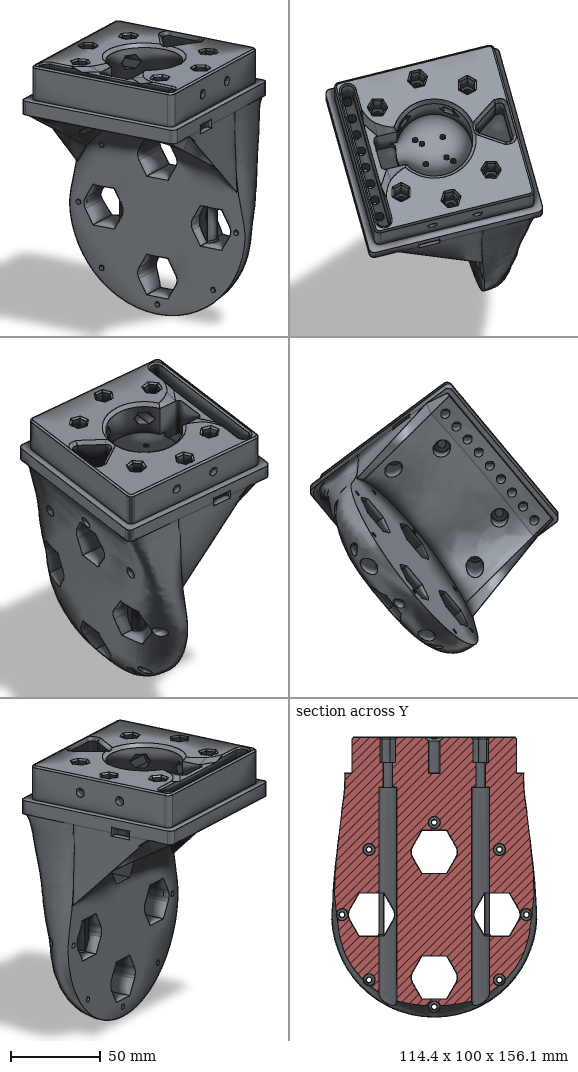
import cadquery as cq
import math


flange_size = 100.0
flange_height = 8.0
plug_size = 92.0
plug_height = 20.0
corner_radius = 3.0
plug_edge_chamfer = 1.0
plug_top = flange_height + plug_height

pocket_depth = plug_height
pocket_floor = plug_top - pocket_depth
lead_in = 2.0
round_pocket_radius = 21.4
triangle_back = 42.9
triangle_shoulder = 38.4
triangle_half_width = 11.7
triangle_apex = 21.5
triangle_back_radius = 2.5
triangle_tip_radius = 3.2
well_half_width = 10.0
well_back = -20.4
well_front = -32.8
well_extra_depth = 5.0
well_corner_radius = 2.5
slot_y = -39.5
slot_length = 86.0
slot_width = 7.5
slot_lead_in = 1.0
well_shoulder_y = -30.0
funnel_floor_half_width = 19.0
funnel_top_half_width = 27.0
funnel_top_bend = (17.6, -29.8)
funnel_bend_sag = 0.7
neck_y = -19.0

bolt_circle_radius = 36.65
bolt_angles = (0, 45, 135, 180, 225, 315)
bolt_diameter = 5.0
nut_across_flats = 8.0
nut_depth = 14.0
nut_lead_in = 1.0
nut_turn = 90
head_bore_diameter = 9.75
row_hole_count = 9
row_hole_pitch = 10.0
row_hole_diameter = 5.0
floor_hole_diameter = 3.0
floor_hole_depth = 10.0
floor_hole_points = ((-6.6, 6.6), (6.6, -6.6), (5.6, 5.6), (-5.6, -5.6), (8.7, 8.7), (-8.7, -8.7))
cross_hole_diameter = 5.2
cross_hole_spacing = 26.0
cross_hole_z = flange_height + plug_height / 2
cross_nut_end = 27.0

notch_y = -16.0
notch_length = 12.0
notch_top = 3.1
notch_height = 5.1
notch_depth = 4.0
notch_corner_radius = 1.9

face_y = 14.0
face_radius = 57.14
face_z = -70.94
dome_back = 40.3
dome_exponent = 2.7
dome_latitudes = (0, 20, 40, 58, 74, 89)
shoulder_fade = 9.0
section_spans = 32
face_allowance = 1.0
gusset_root = 1.0
gusset_top_half_width = flange_size / 2
gusset_foot_half_width = 52.0
gusset_foot_z = face_z + math.sqrt(face_radius ** 2 - gusset_foot_half_width ** 2)
gusset_shoulder = 46.0
gusset_side_end = -34.0
gusset_side_sliver = 0.05
gusset_front = -47.0
gusset_front_taper = 2.5
gusset_front_arch = 0.2
gusset_lip = 1.5

screw_circle_radius = 51.4
screw_count = 8
screw_diameter = 3.0
screw_head_diameter = 6.5
screw_plate_thickness = 4.0
window_circle_radius = 35.0
window_count = 4
window_corner_radius = 13.8
window_side_fillet = 6.5
window_apothem = window_corner_radius * math.cos(math.radians(30))

shell_thickness = 0.3
shell_foot_height = 1.0
shell_foot_flare = 0.6

through = 250.0


def square_block(size, height, base_z):
    block = cq.Workplane("XY").workplane(offset=base_z).rect(size, size).extrude(height)
    return block.edges("|Z").fillet(corner_radius)


def hexagon_radius(across_flats):
    return across_flats / math.cos(math.radians(30)) / 2


def vertical_cylinder(x, y, diameter, bottom, top):
    return cq.Workplane("XY").workplane(offset=bottom).center(x, y).circle(diameter / 2).extrude(top - bottom)


def polar(radius, angle):
    return radius * math.cos(math.radians(angle)), radius * math.sin(math.radians(angle))



def face_half_width(z):
    """Half width at the face plane: the round face below, the gusset side above."""
    drop = z - face_z
    if z > gusset_foot_z:
        return gusset_top_half_width + (gusset_foot_half_width - gusset_top_half_width) * z / gusset_foot_z
    return math.sqrt(face_radius ** 2 - drop ** 2)


def arm_section(z, half_width, back, exponent):
    """Superellipse bulging to the back, with a straight front just ahead of the face plane."""
    depth = back - face_y
    inset = half_width - face_half_width(z)
    points = []
    for i in range(section_spans + 1):
        angle = math.pi * i / section_spans
        cosine, sine = math.cos(angle), math.sin(angle)
        radius = (abs(cosine) ** exponent + abs(sine) ** exponent) ** (-1 / exponent)
        reach = depth * radius * sine
        fade = max(0.0, 1 - reach / shoulder_fade) ** 2
        x = half_width * radius * cosine - math.copysign(inset * fade, cosine)
        points.append(cq.Vector(x, face_y + reach, z))
    curve = cq.Edge.makeSpline(points)
    left = points[-1] - cq.Vector(0, face_allowance, 0)
    right = points[0] - cq.Vector(0, face_allowance, 0)
    front = [
        cq.Edge.makeLine(points[-1], left),
        cq.Edge.makeLine(left, right),
        cq.Edge.makeLine(right, points[0]),
    ]
    return cq.Wire.assembleEdges([curve, *front])


def make_arm_body():
    """Neck under the flange running into the rounded dome behind the round face."""
    stations = [
        (0.0, 50.0, 50.0, 14.0),
        (-11.0, 51.3, 44.1, 14.0),
        (-23.0, 52.8, 40.4, 14.0),
        (-36.0, 54.3, 38.1, 9.0),
        (-51.0, 56.0, 38.6, 5.0),
    ]
    for angle in dome_latitudes:
        shrink = math.cos(math.radians(angle))
        z = face_z - face_radius * math.sin(math.radians(angle))
        back = face_y + (dome_back - face_y) * shrink
        stations.append((z, face_radius * shrink, back, dome_exponent))
    body = cq.Solid.makeLoft([arm_section(*station) for station in stations])
    ahead = (
        cq.Workplane("XZ", origin=(0, face_y, face_z))
        .rect(4 * face_radius, 4 * face_radius).extrude(2 * face_allowance)
    )
    return cq.Workplane(body).cut(ahead)


def gusset_section(workplane, top_half_width, side, shoulder, crown_z):
    """Straight top and sides, slanted shoulders and an arched underside."""
    return (
        workplane.moveTo(-top_half_width, 0)
        .lineTo(-side[0], side[1])
        .lineTo(-shoulder[0], shoulder[1])
        .threePointArc((0, crown_z), shoulder)
        .lineTo(*side)
        .lineTo(top_half_width, 0)
        .close()
    )


def make_gusset():
    """Ruled web from the upper arc of the round face to the front edge of the flange."""
    crown_z = face_z + face_radius
    shoulder_z = face_z + math.sqrt(face_radius ** 2 - gusset_shoulder ** 2)
    share = (gusset_side_end - gusset_front) / (face_y - gusset_front)
    middle_crown_z = -gusset_lip + (crown_z + gusset_lip) * share
    middle_shoulder_z = -gusset_lip + (shoulder_z + gusset_lip) * share
    half_top = gusset_top_half_width
    half_front = half_top - gusset_front_taper

    foot = (gusset_foot_half_width, gusset_foot_z)
    back = cq.Workplane("XZ", origin=(0, face_y + gusset_root, 0))
    root = gusset_section(back, half_top, foot, (gusset_shoulder, shoulder_z), crown_z).extrude(gusset_root)

    web = cq.Workplane("XZ", origin=(0, face_y, 0))
    web = gusset_section(web, half_top, foot, (gusset_shoulder, shoulder_z), crown_z)
    web = gusset_section(
        web.workplane(offset=face_y - gusset_side_end),
        half_top, (half_top, -gusset_side_sliver), (gusset_shoulder, middle_shoulder_z), middle_crown_z,
    )
    web = gusset_section(
        web.workplane(offset=gusset_side_end - gusset_front),
        half_front, (half_front, -gusset_side_sliver), (gusset_shoulder, -gusset_lip),
        gusset_front_arch - gusset_lip,
    )
    return web.loft(ruled=True).union(root)



def round_pocket():
    bore = vertical_cylinder(0, 0, 2 * round_pocket_radius, pocket_floor, plug_top)
    rim = (
        cq.Workplane("XY").workplane(offset=plug_top - lead_in)
        .circle(round_pocket_radius).extrude(lead_in, taper=-45)
    )
    return bore.union(rim)


def triangle_pocket():
    pocket = (
        cq.Workplane("XY").workplane(offset=pocket_floor)
        .polyline([
            (-triangle_half_width, triangle_back),
            (triangle_half_width, triangle_back),
            (triangle_half_width, triangle_shoulder),
            (0, triangle_apex),
            (-triangle_half_width, triangle_shoulder),
        ])
        .close()
        .extrude(pocket_depth)
    )
    pocket = pocket.edges("|Z and >Y").fillet(triangle_back_radius)
    pocket = pocket.edges("|Z and <Y").fillet(triangle_tip_radius)
    outline = pocket.faces(">Z").wires().val().translate(cq.Vector(0, 0, -lead_in))
    rim = cq.Workplane("XY").workplane(offset=plug_top - lead_in).add(outline).toPending()
    return pocket.union(rim.extrude(lead_in, taper=-45))


def cable_well():
    floor_z = pocket_floor - well_extra_depth
    well = (
        cq.Workplane("XY").workplane(offset=floor_z)
        .center(0, (well_back + well_front) / 2)
        .rect(2 * well_half_width, well_back - well_front)
        .extrude(plug_top - floor_z)
        .edges("|Z").fillet(well_corner_radius)
    )
    passage = (
        cq.Workplane("XY").workplane(offset=pocket_floor)
        .center(0, (neck_y + well_front) / 2 + well_corner_radius)
        .rect(2 * well_half_width, neck_y - well_front)
        .extrude(pocket_depth)
    )
    pocket_footprint = vertical_cylinder(0, 0, 2 * round_pocket_radius, floor_z, plug_top)
    return well.cut(pocket_footprint).union(passage)


def bowed_point(start, end):
    """Middle of a shallow arc that bows toward the middle of the slot."""
    length = math.hypot(end[0] - start[0], end[1] - start[1])
    x = (start[0] + end[0]) / 2 - abs(end[1] - start[1]) / length * funnel_bend_sag
    y = (start[1] + end[1]) / 2 - abs(end[0] - start[0]) / length * funnel_bend_sag
    return x, y


def cable_funnel():
    """Shallow flared saddle between the well and the long slot, mirrored about X = 0."""
    slot_edge = slot_y + slot_width / 2
    neck = (well_half_width + lead_in, neck_y)
    bend = funnel_top_bend
    corner = (funnel_top_half_width, slot_edge + slot_lead_in)
    half = (
        cq.Workplane("XY").workplane(offset=plug_top - lead_in)
        .moveTo(0, neck_y)
        .lineTo(well_half_width, neck_y)
        .lineTo(well_half_width, well_shoulder_y)
        .lineTo(funnel_floor_half_width, slot_edge)
        .lineTo(funnel_floor_half_width, slot_y)
        .lineTo(0, slot_y)
        .close()
        .workplane(offset=lead_in)
        .moveTo(0, neck_y)
        .lineTo(*neck)
        .threePointArc(bowed_point(neck, bend), bend)
        .threePointArc(bowed_point(bend, corner), corner)
        .lineTo(funnel_top_half_width, slot_y)
        .lineTo(0, slot_y)
        .close()
        .loft(ruled=True)
    )
    return half.union(half.mirror("YZ"))


def long_slot():
    slot = (
        cq.Workplane("XY").workplane(offset=pocket_floor).center(0, slot_y)
        .slot2D(slot_length, slot_width).extrude(pocket_depth)
    )
    rim = (
        cq.Workplane("XY").workplane(offset=plug_top - slot_lead_in).center(0, slot_y)
        .slot2D(slot_length, slot_width).extrude(slot_lead_in, taper=-45)
    )
    return slot.union(rim)


def bolt_hole(angle):
    """Nut pocket on top, bolt hole through the flange, bore for the bolt head below."""
    x, y = polar(bolt_circle_radius, angle)
    shank = vertical_cylinder(x, y, bolt_diameter, 0, plug_top)
    head = vertical_cylinder(x, y, head_bore_diameter, -through, 0)
    size = 2 * hexagon_radius(nut_across_flats)
    nut = cq.Workplane("XY").workplane(offset=plug_top - nut_depth).polygon(6, size).extrude(nut_depth)
    rim = (
        cq.Workplane("XY").workplane(offset=plug_top - nut_lead_in)
        .polygon(6, size).extrude(nut_lead_in, taper=-45)
    )
    nut = nut.union(rim).rotate((0, 0, 0), (0, 0, 1), nut_turn + angle).translate((x, y, 0))
    return shank.union(head).union(nut)


def row_holes():
    return (
        cq.Workplane("XY").workplane(offset=plug_top)
        .center(0, slot_y)
        .rarray(row_hole_pitch, 1, row_hole_count, 1)
        .circle(row_hole_diameter / 2)
        .extrude(-through)
    )


def floor_holes():
    return (
        cq.Workplane("XY").workplane(offset=pocket_floor)
        .pushPoints(floor_hole_points)
        .circle(floor_hole_diameter / 2)
        .extrude(-floor_hole_depth)
    )


def cross_holes():
    """Holes along X through the plug, with nut recesses opening into the round pocket."""
    workplane = cq.Workplane("YZ", origin=(0, 0, cross_hole_z)).rarray(cross_hole_spacing, 1, 2, 1)
    holes = workplane.circle(cross_hole_diameter / 2).extrude(plug_size, both=True)
    nuts = workplane.polygon(6, 2 * hexagon_radius(nut_across_flats)).extrude(cross_nut_end, both=True)
    return holes.union(nuts)


def side_notch(side):
    return (
        cq.Workplane("XY").workplane(offset=notch_top)
        .center(side * flange_size / 2, notch_y)
        .rect(2 * notch_depth, notch_length)
        .extrude(-notch_height)
        .edges("|Z").fillet(notch_corner_radius)
    )


def face_screw_hole(angle):
    x, z = polar(screw_circle_radius, angle)
    workplane = cq.Workplane("XZ", origin=(x, face_y, face_z + z))
    hole = workplane.circle(screw_diameter / 2).extrude(-through)
    head = (
        workplane.workplane(offset=-screw_plate_thickness)
        .circle(screw_head_diameter / 2).extrude(-through)
    )
    return hole.union(head)


def face_window(angle):
    """Hexagonal opening through the arm with rounded left and right corners."""
    x, z = polar(window_circle_radius, angle)
    window = (
        cq.Workplane("XZ", origin=(x, face_y, face_z + z))
        .polygon(6, 2 * window_corner_radius).extrude(-through)
    )
    return window.edges("|Y and (<X or >X)").fillet(window_side_fillet)


def make_mount():
    mount = square_block(flange_size, flange_height, 0)
    plug = square_block(plug_size, plug_height, flange_height)
    mount = mount.union(plug.faces(">Z").edges().chamfer(plug_edge_chamfer))
    for piece in (make_arm_body(), make_gusset()):
        mount = mount.union(piece)
    cuts = [round_pocket(), triangle_pocket(), cable_well(), cable_funnel(), long_slot()]
    cuts += [row_holes(), floor_holes(), cross_holes()]
    cuts += [bolt_hole(angle) for angle in bolt_angles]
    cuts += [side_notch(side) for side in (-1, 1)]
    cuts += [face_screw_hole(360 / screw_count * i) for i in range(screw_count)]
    cuts += [face_window(360 / window_count * i) for i in range(window_count)]
    for cut in cuts:
        mount = mount.cut(cut)
    return mount



def make_support_shell(side):
    """Thin upright shell around the head bore, under the flat roof of a side window."""
    x, y = polar(bolt_circle_radius, 45)
    bottom = face_z - window_apothem
    top = face_z + window_apothem
    inner = head_bore_diameter / 2
    outer = inner + shell_thickness
    profile = (
        cq.Workplane("XZ")
        .polyline([
            (inner, bottom),
            (outer + shell_foot_flare, bottom),
            (outer, bottom + shell_foot_height),
            (outer, top),
            (inner, top),
        ])
        .close()
    )
    ring = profile.revolve(360, (0, 0, 0), (0, 1, 0)).translate((side * x, y, 0))
    under_roof = (
        cq.Workplane("XY", origin=(side * window_circle_radius, y, bottom))
        .rect(window_corner_radius, window_corner_radius)
        .extrude(top - bottom)
    )
    return ring.intersect(under_roof)


mount = make_mount()
support_shells = [make_support_shell(side) for side in (-1, 1)]

result = cq.Compound.makeCompound([mount.val(), *[shell.val() for shell in support_shells]])